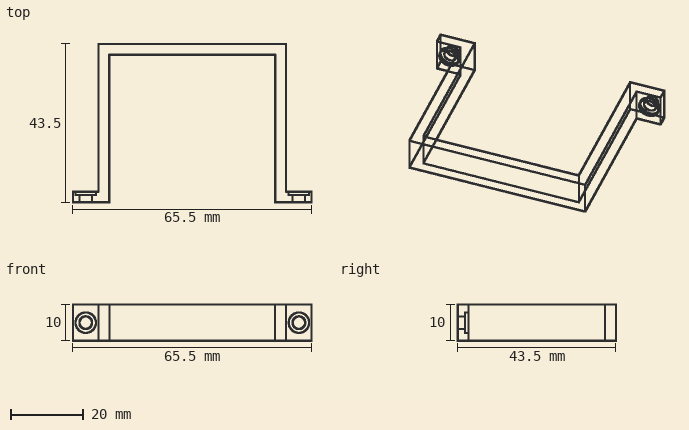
import cadquery as cq

inner_width = 45.5
wall = 3.0
depth = 43.5
height = 10.0
tab_length = 7.0
hole_diameter = 3.4
counterbore_diameter = 5.6
counterbore_depth = 1.0

outer_width = inner_width + 2 * wall
overall_width = outer_width + 2 * tab_length
hole_offset = outer_width / 2 + tab_length / 2


def block(width, length):
    """Full-height block, centred in X, with its front face at Y = 0 and its base at Z = 0."""
    return cq.Workplane("XY").box(width, length, height, centered=(True, False, False))


def bracket_body():
    """U-shaped strap, open at the front, with a mounting tab on each leg."""
    strap = block(outer_width, depth)
    tabs = block(overall_width, wall)
    opening = block(inner_width, depth - wall)
    return strap.union(tabs).cut(opening)


def tab_cylinders(diameter, length):
    """Cylinders centred on the two tabs, running forward from the tabs' rear face."""
    return (
        cq.Workplane("XZ", origin=(0, wall, height / 2))
        .pushPoints([(-hole_offset, 0), (hole_offset, 0)])
        .circle(diameter / 2)
        .extrude(length)
    )


screw_holes = tab_cylinders(hole_diameter, wall)
counterbores = tab_cylinders(counterbore_diameter, counterbore_depth)

result = bracket_body().cut(screw_holes).cut(counterbores)